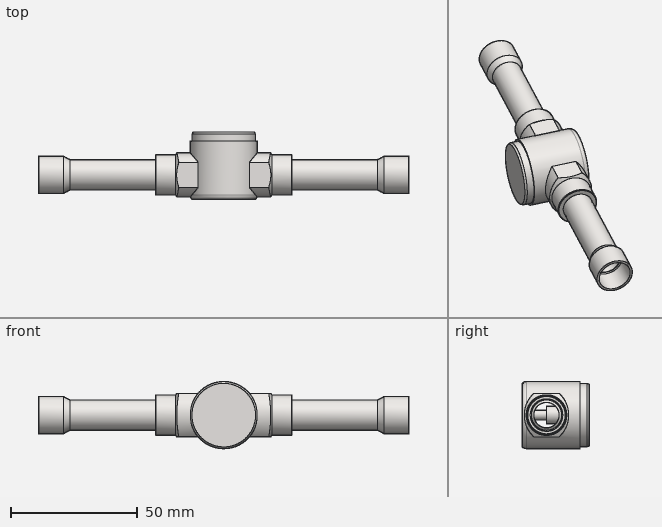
import cadquery as cq

overall_length = 146.0
half_length = overall_length / 2
tube_diameter = 12.0
bore_diameter = 10.0

socket_diameter = 14.7
socket_bore_diameter = 12.8
socket_length = 9.8
socket_taper_length = 2.6

collar_diameter = 16.0
collar_end = 27.0
collar_chamfer = 0.3

block_half_length = 19.0
block_height = 17.2
block_width = 17.5
block_flat_width = 10.0
block_bevel_length = 2.9
block_bevel_rise = 4.4

body_radius = 13.3
body_front = -9.6
body_round_length = 1.8
body_front_radius = 12.5
body_shoulder = 13.3
neck_radius = 12.5
body_length = 26.5
body_back = body_front + body_length
neck_bevel_length = 0.9
neck_bevel_depth = 0.5

stem_diameter = 7.0
stem_end = 0.0
pin_diameter = 4.0
stem_embed = 1.5


def y_cylinder(diameter, y_start, y_end):
    """Cylinder on the body axis between two Y positions."""
    disc = cq.Workplane("XZ", origin=(0, y_start, 0)).circle(diameter / 2)
    return disc.extrude(y_start - y_end)


def x_revolve(profile):
    """Turn an XY profile around the tube axis."""
    return profile.close().revolve(360, (0, 0, 0), (1, 0, 0))


def make_body():
    """Turned body: rounded front rim, plain barrel, shoulder and bevelled neck."""
    profile = (
        cq.Workplane("XY")
        .moveTo(0, body_back)
        .lineTo(neck_radius - neck_bevel_depth, body_back)
        .lineTo(neck_radius, body_back - neck_bevel_length)
        .lineTo(neck_radius, body_shoulder)
        .lineTo(body_radius, body_shoulder)
        .lineTo(body_radius, body_front + body_round_length)
        .tangentArcPoint((body_front_radius, body_front), relative=False)
        .lineTo(0, body_front)
        .close()
    )
    return profile.revolve(360, (0, 0, 0), (0, 1, 0))


def make_block():
    """Wrench block through the body, its ends bevelled by cones."""
    flat_y = block_flat_width / 2
    flat_z = block_height / 2
    side_y = block_width / 2
    section = (
        cq.Workplane("YZ", origin=(-block_half_length, 0, 0))
        .moveTo(-flat_y, flat_z)
        .lineTo(flat_y, flat_z)
        .threePointArc((side_y, 0), (flat_y, -flat_z))
        .lineTo(-flat_y, -flat_z)
        .threePointArc((-side_y, 0), (-flat_y, flat_z))
        .close()
    )
    block = section.extrude(2 * block_half_length)
    end_radius = collar_diameter / 2
    inner_x = block_half_length - block_bevel_length
    inner_radius = end_radius + block_bevel_rise
    bevel = x_revolve(
        cq.Workplane("XY")
        .moveTo(-block_half_length, 0)
        .lineTo(-block_half_length, end_radius)
        .lineTo(-inner_x, inner_radius)
        .lineTo(inner_x, inner_radius)
        .lineTo(block_half_length, end_radius)
        .lineTo(block_half_length, 0)
    )
    return block.intersect(bevel)


def make_collars():
    """Chamfered bar whose ends form both collars."""
    bar = cq.Workplane("YZ", origin=(-collar_end, 0, 0)).circle(collar_diameter / 2)
    return bar.extrude(2 * collar_end).faces("<X or >X").chamfer(collar_chamfer)


def make_tubes():
    """Round bar along X that widens through a taper into a socket at both ends."""
    socket_x = half_length - socket_length
    taper_x = socket_x - socket_taper_length
    return x_revolve(
        cq.Workplane("XY")
        .moveTo(-half_length, 0)
        .lineTo(-half_length, socket_diameter / 2)
        .lineTo(-socket_x, socket_diameter / 2)
        .lineTo(-taper_x, tube_diameter / 2)
        .lineTo(taper_x, tube_diameter / 2)
        .lineTo(socket_x, socket_diameter / 2)
        .lineTo(half_length, socket_diameter / 2)
        .lineTo(half_length, 0)
    )


def make_passage():
    """Through bore and socket bores; a V groove at 45 degrees rings each tube mouth."""
    bore_radius = bore_diameter / 2
    socket_radius = socket_bore_diameter / 2
    groove_radius = tube_diameter / 2
    socket_x = half_length - socket_length
    groove_x = socket_x - (socket_radius - groove_radius)
    mouth_x = groove_x + (groove_radius - bore_radius)
    return x_revolve(
        cq.Workplane("XY")
        .moveTo(-half_length, 0)
        .lineTo(-half_length, socket_radius)
        .lineTo(-socket_x, socket_radius)
        .lineTo(-groove_x, groove_radius)
        .lineTo(-mouth_x, bore_radius)
        .lineTo(mouth_x, bore_radius)
        .lineTo(groove_x, groove_radius)
        .lineTo(socket_x, socket_radius)
        .lineTo(half_length, socket_radius)
        .lineTo(half_length, 0)
    )


def make_stem():
    """Stem with a thinner pin at its end, both anchored in the walls of the bore."""
    anchor = bore_diameter / 2 + stem_embed
    stem = y_cylinder(stem_diameter, stem_end, anchor)
    pin = y_cylinder(pin_diameter, -anchor, stem_end)
    return stem.union(pin)


outside = make_body().union(make_block()).union(make_collars()).union(make_tubes())
result = outside.cut(make_passage()).union(make_stem())